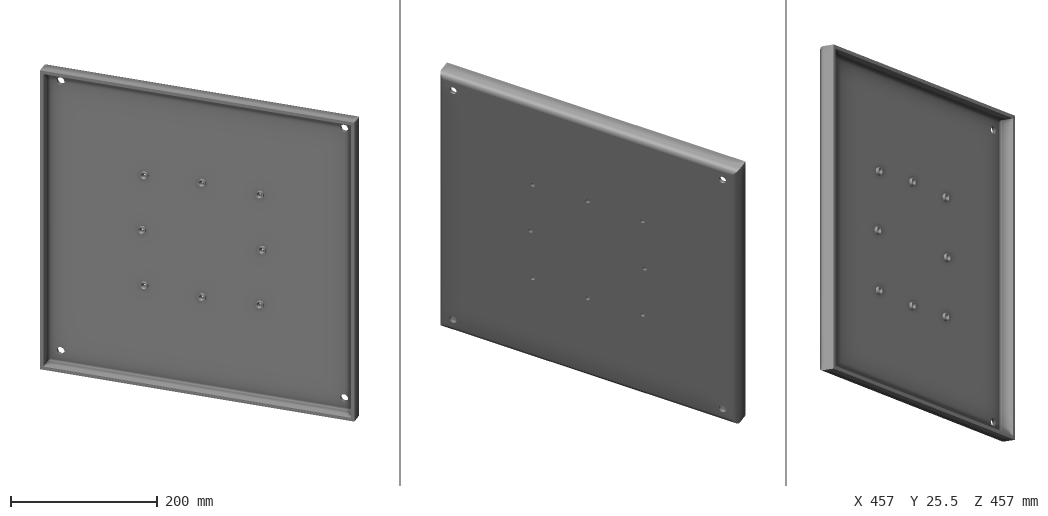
import cadquery as cq

side = 457.0
depth = 25.5
outer_bend = 8.2
inner_bend = 3.35
sheet = outer_bend - inner_bend
cavity_side = side - 2 * sheet

corner_hole_diameter = 11.0
corner_hole_offset = 206.0

insert_bore_diameter = 6.5
insert_ring = 2.4
insert_flange_diameter = insert_bore_diameter + 2 * insert_ring
insert_flange_height = 4.0
insert_shank_diameter = 8.5
insert_bore_chamfer = 1.0
insert_corner_offset = 84.0
insert_axis_offset = 87.5

back_y = depth / 2
front_y = -depth / 2
panel_y = back_y - sheet
flange_y = panel_y - insert_flange_height


def block(width, y_start, y_end):
    """Square block centred on the Y axis between two Y levels."""
    return cq.Workplane("XZ", origin=(0, y_end, 0)).rect(width, width).extrude(y_end - y_start)


def cylinders(points, diameter, y_start, y_end):
    """Cylinders along Y at the given (x, z) points."""
    plane = cq.Workplane("XZ", origin=(0, y_end, 0))
    return plane.pushPoints(points).circle(diameter / 2).extrude(y_end - y_start)


def insert_position(column, row):
    """Place of an insert on a 3 x 3 pattern, by column and row of -1, 0 or 1."""
    offset = insert_corner_offset if column and row else insert_axis_offset
    return (column * offset, row * offset)


def make_tray(insert_points):
    """Tray with rounded back rim, corner holes and a seat hole for each insert."""
    shell = block(side, front_y, back_y).faces(">Y").edges().fillet(outer_bend)
    cavity = block(cavity_side, front_y, panel_y).faces(">Y").edges().fillet(inner_bend)
    corner_points = [(x * corner_hole_offset, z * corner_hole_offset) for x in (-1, 1) for z in (-1, 1)]
    corner_holes = cylinders(corner_points, corner_hole_diameter, panel_y, back_y)
    seat_holes = cylinders(insert_points, insert_shank_diameter, panel_y, back_y)
    return shell.cut(cavity).cut(corner_holes).cut(seat_holes)


def make_insert(point):
    """Insert whose flange sits on the panel and whose shank fills the seat hole."""
    flange = cylinders([point], insert_flange_diameter, flange_y, panel_y)
    shank = cylinders([point], insert_shank_diameter, panel_y, back_y)
    bore = cylinders([point], insert_bore_diameter, flange_y, back_y)
    body = flange.union(shank).cut(bore)
    bore_rim = body.faces("<Y").edges(cq.selectors.RadiusNthSelector(0))
    return bore_rim.chamfer(insert_bore_chamfer)


steps = (-1, 0, 1)
insert_points = [insert_position(column, row) for column in steps for row in steps if column or row]

tray = make_tray(insert_points)
inserts = [make_insert(point) for point in insert_points]

result = cq.Compound.makeCompound([tray.val(), *[insert.val() for insert in inserts]])